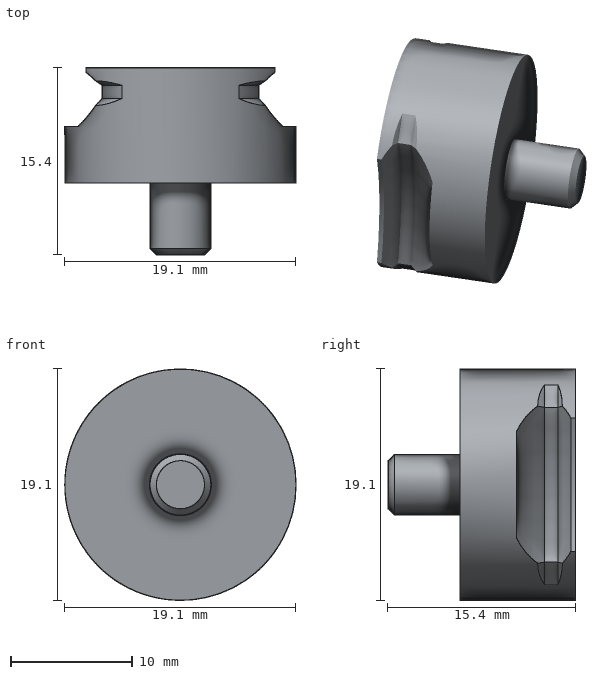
import cadquery as cq
import math

knob_diameter = 19.05
knob_radius = knob_diameter / 2
knob_thickness = knob_diameter / 2

stud_diameter = 5.0
stud_hole_diameter = 5.1
stud_hole_depth = 5.0
stud_projection = 5.9
stud_chamfer = 0.52

wall_y = 4.67
floor_front_y = 6.97
floor_back_y = 8.06
lip_y = 9.14
lip_height = 1.56
flank_height = 2.5
flank_radius = knob_radius
lip_slope_radius = knob_radius
cutter_height = 8.0

corner_x = 6.45
corner_z = 6.37
grip_floor_radius = 18.6
run_out_angle = 48.6
run_out_half_length = 15.0

grip_center_x = corner_x + math.sqrt(grip_floor_radius**2 - corner_z**2)


def bowed_midpoint(start, end, radius):
    """Middle of the arc from start to end that bows to the right of that direction."""
    run = end[0] - start[0]
    rise = end[1] - start[1]
    chord = math.hypot(run, rise)
    sagitta = radius - math.sqrt(radius**2 - (chord / 2) ** 2)
    return (
        (start[0] + end[0]) / 2 + sagitta * rise / chord,
        (start[1] + end[1]) / 2 - sagitta * run / chord,
    )


def grip_profile(workplane, floor_at):
    """Closed section of the grip cutter: first coordinate runs outward, second along Y."""
    rim_at = floor_at + cutter_height
    back_y = knob_thickness + cutter_height
    floor_front = (floor_at, floor_front_y)
    floor_back = (floor_at, floor_back_y)
    lip_edge = (floor_at + lip_height, lip_y)
    flank_edge = (floor_at + flank_height, wall_y)
    return (
        workplane.moveTo(*floor_front)
        .lineTo(*floor_back)
        .threePointArc(bowed_midpoint(lip_edge, floor_back, lip_slope_radius), lip_edge)
        .lineTo(lip_edge[0], back_y)
        .lineTo(rim_at, back_y)
        .lineTo(rim_at, wall_y)
        .lineTo(*flank_edge)
        .threePointArc(bowed_midpoint(floor_front, flank_edge, flank_radius), floor_front)
        .close()
    )


def make_hollow_cutter():
    """Ring cutter turned about an axis parallel to Y, outside the knob on +X."""
    profile = grip_profile(cq.Workplane("XY"), grip_center_x - grip_floor_radius)
    return profile.revolve(360, (grip_center_x, 0, 0), (grip_center_x, 1, 0))


def make_run_out_cutter():
    """Straight cutter leaving the +X +Z end of the hollow towards the rim."""
    outward_angle = math.radians(90 - run_out_angle)
    plane = cq.Plane(
        origin=(corner_x, 0, corner_z),
        xDir=(math.cos(outward_angle), 0, math.sin(outward_angle)),
        normal=(-math.sin(outward_angle), 0, math.cos(outward_angle)),
    )
    profile = grip_profile(cq.Workplane(plane), 0)
    return profile.extrude(run_out_half_length, both=True)


def make_knob():
    knob = cq.Workplane("XZ").circle(knob_radius).extrude(-knob_thickness)
    stud_hole = cq.Workplane("XZ").circle(stud_hole_diameter / 2).extrude(-stud_hole_depth)
    knob = knob.cut(stud_hole)
    hollow = make_hollow_cutter()
    run_out = make_run_out_cutter()
    for cutter in (hollow, run_out, run_out.mirror("XY")):
        knob = knob.cut(cutter).cut(cutter.mirror("YZ"))
    return knob


def make_stud():
    hole_floor = cq.Workplane("XZ", origin=(0, stud_hole_depth, 0))
    stud = hole_floor.circle(stud_diameter / 2).extrude(stud_hole_depth + stud_projection)
    return stud.faces("<Y").chamfer(stud_chamfer)


knob = make_knob()
stud = make_stud()
result = cq.Compound.makeCompound([knob.val(), stud.val()])